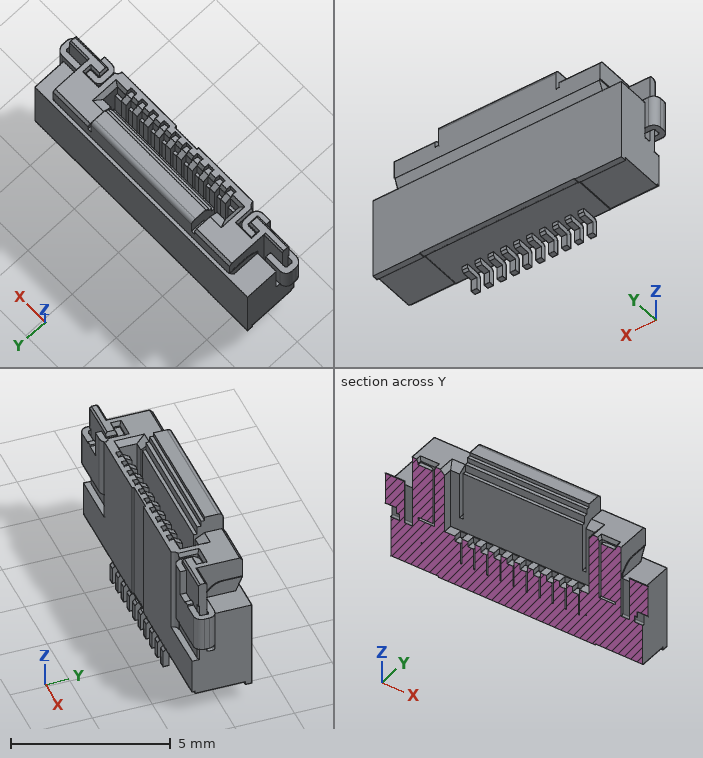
import cadquery as cq
import math


HALF_LENGTH = 4.82
DEPTH = 2.0
TOP = 4.4
SHELF_HALF = 4.0
SHELF_Z = 3.11
UNDERSIDE_MIDDLE = 0.07
UNDERSIDE_ENDS = 0.11
FOOT_DEPTH = 0.22
FOOT_MIDDLE_Z = 0.03
FOOT_INNER_X = 3.0
SOLE_NOTCH_DEPTH = 0.1
SOLE_NOTCH_Z = 0.19
PANEL_HALF = 0.5
PANEL_DEPTH = 0.07

POCKET_FLOOR_Z = 1.42
POCKET_INNER_X = 2.97
POCKET_RADIUS = 0.19
TONGUE_FRONT = 0.21
TONGUE_BACK = 0.5
TONGUE_EDGE = 0.06
SIDE_BEVEL_X = 0.1
SIDE_BEVEL_Y = 0.04
SIDE_BEVEL_TOP = 3.54
SIDE_SLOT_BACK = 0.76
SIDE_SLOT_Z = 1.67
SIDE_SLOT_RADIUS = 0.05

CLIP_HALF = 5.2
SHEET = 0.21
BEND_RADIUS = 0.27
INNER_BEND = BEND_RADIUS - SHEET
CLIP_BOTTOM = 2.1
CLIP_SHOULDER = 3.3
CLIP_TOP = 4.2
CLIP_TALL_X = 3.76
HOOK_OUTER_X = POCKET_INNER_X + POCKET_RADIUS
HOOK_BACK = 0.82
BACK_LEG_END_X = 4.29
TAIL_OUTER_X = 4.6
TAIL_TIP_X = 4.5
TAIL_FRONT = 0.56
TAIL_STEP_Z = 1.89
BUMP_OUTER_X = 4.41
BUMP_INNER_X = 4.23
BUMP_HEIGHT = 0.06
HOOK_SLOT_FLOOR = 2.03
HOOK_SLOT_FRONT = 0.59
HOOK_SLOT_FLARE = 0.06
HOOK_SLOT_FLARE_Z = 0.15

LEVER_HALF = 2.28
LEVER_TOP = 4.9
LEVER_RADIUS = 0.17
LEVER_FRONT = 1.01
LEVER_BASE_Z = 4.0
LEVER_STEPS = [(1.38, LEVER_TOP), (1.26, 4.77), (1.13, 4.58), (LEVER_FRONT, 4.3)]
WING_INNER_X = 2.41
WING_CHAMFER = 0.1
WING_GAP_FLOOR = 4.1
WING_GAP_DEEP_BACK = 1.47
WING_GAP_DEEP_FLOOR = 2.5
UNDERCUT_TOP = 3.6
UNDERCUT_DEPTH = 0.22
CAM_TOP = 3.64
CAM_CURVE_START = 1.35
CAM_INSET = 0.03

MOUTH_HALF = 2.916
MOUTH_FRONT = 0.31
MOUTH_BACK = 1.32
MOUTH_SLOPE_Z = 0.18
CAVITY_HALF = 2.755
CAVITY_FRONT = 0.4
CAVITY_BACK = LEVER_FRONT
CAVITY_FLOOR = 2.0
LEDGE_BACK = 0.5
LEDGE_Z = 3.6

CONTACT_COUNT = 10
PITCH = 0.5
CONTACT_WIDTH = 0.22
GROOVE_WIDTH = 0.25
GROOVE_FRONT = 0.157
GROOVE_BACK = 0.98
GROOVE_FLOOR = 1.0
BEAM_PEAK_Y = 0.375
BEAM_BACK = 0.61
BEAM_PEAK_Z = 4.27
BEAM_SHOULDER_Z = 4.12
BEAM_FRONT_Z = 4.14
FORK_BACK = 0.95
FORK_Z = 1.8
LEAD_FRONT = -0.04
LEAD_BACK = 0.64
LEAD_BOTTOM = -0.15
LEG_BOTTOM = -0.6
LEG_THICKNESS = 0.2
LEAD_CORNER = 0.08


def box(x0, x1, y0, y1, z0, z1):
    """Box between two corners."""
    return cq.Workplane("XY").box(x1 - x0, y1 - y0, z1 - z0, centered=False).translate((x0, y0, z0))


def bar(profile, x0, x1):
    """Extrude a closed list of (Y, Z) points along X."""
    return cq.Workplane("YZ").polyline(profile).close().extrude(x1 - x0).translate((x0, 0, 0))


def both_ends(shape):
    """The shape of the -X end together with its mirror at the +X end."""
    return shape.union(shape.mirror("YZ"))


def make_housing():
    """Block with a rear foot, a stepped underside and a recessed front panel."""
    shell = box(-HALF_LENGTH, HALF_LENGTH, 0, DEPTH, 0, TOP)
    foot_front = DEPTH - FOOT_DEPTH
    shell = shell.cut(box(-HALF_LENGTH, HALF_LENGTH, 0, foot_front, 0, UNDERSIDE_MIDDLE))
    shell = shell.cut(box(-FOOT_INNER_X, FOOT_INNER_X, foot_front, DEPTH, 0, FOOT_MIDDLE_Z))
    shell = shell.cut(both_ends(box(-HALF_LENGTH, -FOOT_INNER_X, 0, foot_front, 0, UNDERSIDE_ENDS)))
    shell = shell.cut(box(-HALF_LENGTH, HALF_LENGTH, 0, SOLE_NOTCH_DEPTH, 0, SOLE_NOTCH_Z))
    return shell.cut(box(-PANEL_HALF, PANEL_HALF, 0, PANEL_DEPTH, SOLE_NOTCH_Z, TOP))


def corner_pocket():
    """Front pocket with a concave inner corner and a bevel along its outer edge."""
    diagonal = POCKET_RADIUS * math.sqrt(0.5)
    corner_x = -POCKET_INNER_X - POCKET_RADIUS
    pocket = (
        cq.Workplane("XY", origin=(0, 0, POCKET_FLOOR_Z))
        .moveTo(-HALF_LENGTH, 0)
        .lineTo(-POCKET_INNER_X, 0)
        .threePointArc((corner_x + diagonal, diagonal), (corner_x, POCKET_RADIUS))
        .lineTo(corner_x, TONGUE_FRONT)
        .lineTo(-HALF_LENGTH, TONGUE_FRONT)
        .close()
        .extrude(TOP - POCKET_FLOOR_Z)
    )
    bevel = (
        cq.Workplane("XY", origin=(0, 0, POCKET_FLOOR_Z))
        .moveTo(-HALF_LENGTH, TONGUE_FRONT)
        .lineTo(-HALF_LENGTH + SIDE_BEVEL_X, TONGUE_FRONT)
        .lineTo(-HALF_LENGTH, TONGUE_FRONT + SIDE_BEVEL_Y)
        .close()
        .extrude(SIDE_BEVEL_TOP - POCKET_FLOOR_Z)
    )
    return pocket.union(bevel)


def tongue_edges():
    """Wedges that bevel the top edges of the tongue: front all along, back above the shelf."""
    low = TOP - TONGUE_EDGE
    front = [(TONGUE_FRONT, low), (TONGUE_FRONT + TONGUE_EDGE, TOP), (TONGUE_FRONT, TOP)]
    back = [(TONGUE_BACK, low), (TONGUE_BACK - TONGUE_EDGE, TOP), (TONGUE_BACK, TOP)]
    tip_x = -HOOK_OUTER_X - SHEET
    return bar(front, -HALF_LENGTH, tip_x).union(bar(back, -HALF_LENGTH, -SHELF_HALF))


def hook_slot():
    """L-shaped slot that takes the hook of the clip, flared at its top edge."""
    stem_x = -HOOK_OUTER_X - SHEET
    outline = [
        (stem_x, TONGUE_FRONT),
        (-HOOK_OUTER_X, TONGUE_FRONT),
        (-HOOK_OUTER_X, HOOK_BACK),
        (-CLIP_TALL_X, HOOK_BACK),
        (-CLIP_TALL_X, HOOK_SLOT_FRONT),
        (stem_x, HOOK_SLOT_FRONT),
    ]
    height = TOP - HOOK_SLOT_FLOOR
    slot = cq.Workplane("XY", origin=(0, 0, HOOK_SLOT_FLOOR)).polyline(outline).close().extrude(height)
    flare_bottom = cq.Workplane("XY", origin=(0, 0, TOP - HOOK_SLOT_FLARE_Z)).polyline(outline).close()
    flare_top = (
        cq.Workplane("XY", origin=(0, 0, TOP))
        .polyline(outline)
        .close()
        .offset2D(HOOK_SLOT_FLARE, "intersection")
    )
    flare = cq.Solid.makeLoft([flare_bottom.val(), flare_top.val()], True)
    return slot.union(cq.Workplane(flare))


def end_shelf():
    """Space above the shelf, with the slot behind the tongue going deeper."""
    above = box(-HALF_LENGTH, -SHELF_HALF, TONGUE_BACK, DEPTH, SHELF_Z, TOP)
    slot = box(-HALF_LENGTH, -SHELF_HALF, TONGUE_BACK, SIDE_SLOT_BACK, SIDE_SLOT_Z, TOP)
    return above.union(slot.edges("|X and <Z").fillet(SIDE_SLOT_RADIUS))


def wing_relief():
    """Cuts that shape the actuator wing: rear chamfer, undercut, inset cam and gap to the lever."""
    chamfer = [(DEPTH, TOP - WING_CHAMFER), (DEPTH - WING_CHAMFER, TOP), (DEPTH, TOP)]
    undercut = [(DEPTH, UNDERCUT_TOP), (DEPTH, SHELF_Z), (DEPTH - UNDERCUT_DEPTH, SHELF_Z)]
    cam = (
        cq.Workplane("YZ", origin=(-SHELF_HALF, 0, 0))
        .moveTo(DEPTH, SHELF_Z)
        .lineTo(DEPTH, CAM_TOP)
        .lineTo(CAM_CURVE_START, CAM_TOP)
        .spline([(SIDE_SLOT_BACK, CLIP_SHOULDER)], tangents=[(-1, 0), (-1, -1)], includeCurrent=True)
        .lineTo(SIDE_SLOT_BACK, SHELF_Z)
        .close()
        .extrude(CAM_INSET)
    )
    gap = box(-WING_INNER_X, -LEVER_HALF, LEVER_FRONT, DEPTH, WING_GAP_FLOOR, TOP)
    deep_gap = box(
        -WING_INNER_X, -LEVER_HALF, LEVER_FRONT, WING_GAP_DEEP_BACK, WING_GAP_DEEP_FLOOR, TOP
    )
    relief = bar(chamfer, -SHELF_HALF, -WING_INNER_X).union(bar(undercut, -SHELF_HALF, 0))
    return relief.union(cam).union(gap).union(deep_gap)


def make_lever():
    """Stepped lever bar rising out of the housing."""
    profile = [(DEPTH, LEVER_BASE_Z), (DEPTH, LEVER_TOP)]
    for number, (front, top) in enumerate(LEVER_STEPS):
        following = LEVER_STEPS[number + 1][1] if number + 1 < len(LEVER_STEPS) else LEVER_BASE_Z
        profile += [(front, top), (front, following)]
    lever = bar(profile, -LEVER_HALF, LEVER_HALF)
    return lever.edges("|X and >Z and >Y").fillet(LEVER_RADIUS)


def cable_opening():
    """Mouth sloping in from its rear, front and ends, with a ledge low on the front wall."""
    slope_bottom = TOP - MOUTH_SLOPE_Z
    mouth_mid = (MOUTH_FRONT + MOUTH_BACK) / 2
    cavity_mid = (CAVITY_FRONT + CAVITY_BACK) / 2
    mouth = (
        cq.Workplane("XY", origin=(0, mouth_mid, TOP))
        .rect(2 * MOUTH_HALF, MOUTH_BACK - MOUTH_FRONT)
        .workplane(offset=slope_bottom - TOP)
        .center(0, cavity_mid - mouth_mid)
        .rect(2 * CAVITY_HALF, CAVITY_BACK - CAVITY_FRONT)
        .loft(ruled=True)
    )
    upper = box(-CAVITY_HALF, CAVITY_HALF, CAVITY_FRONT, CAVITY_BACK, LEDGE_Z, slope_bottom)
    lower = box(-CAVITY_HALF, CAVITY_HALF, LEDGE_BACK, CAVITY_BACK, CAVITY_FLOOR, LEDGE_Z)
    return mouth.union(upper).union(lower)


def make_clip():
    """Bent strip: loop around the tongue's outer end, front leg, and hook around its inner tip."""
    back = TONGUE_BACK + SHEET
    loop = box(-CLIP_HALF, -BACK_LEG_END_X, 0, back, CLIP_BOTTOM, CLIP_SHOULDER)
    loop = loop.edges("|Z and <X").fillet(BEND_RADIUS)
    opening = box(-CLIP_HALF + SHEET, -BACK_LEG_END_X, SHEET, TONGUE_BACK, CLIP_BOTTOM, CLIP_SHOULDER)
    loop = loop.cut(opening.edges("|Z and <X").fillet(INNER_BEND))
    front_leg = box(-BACK_LEG_END_X, -CLIP_TALL_X, 0, SHEET, CLIP_BOTTOM, CLIP_SHOULDER)

    hook = box(-CLIP_TALL_X, -HOOK_OUTER_X, 0, HOOK_BACK, CLIP_BOTTOM, CLIP_TOP)
    hook = hook.edges("|Z and >X").fillet(BEND_RADIUS)
    hook_opening = box(-CLIP_TALL_X, -HOOK_OUTER_X - SHEET, SHEET, HOOK_BACK - SHEET, CLIP_BOTTOM, CLIP_TOP)
    hook = hook.cut(hook_opening.edges("|Z and >X").fillet(INNER_BEND))

    bump_top = CLIP_SHOULDER + BUMP_HEIGHT
    bump = box(-BUMP_OUTER_X, -BUMP_INNER_X, 0, SHEET, CLIP_SHOULDER, bump_top)
    tail = box(-TAIL_OUTER_X, -BACK_LEG_END_X, TAIL_FRONT, back, TAIL_STEP_Z, CLIP_BOTTOM)
    tail_tip = box(-TAIL_TIP_X, -BACK_LEG_END_X, TAIL_FRONT, back, SIDE_SLOT_Z, TAIL_STEP_Z)
    return loop.union(front_leg).union(hook).union(bump).union(tail).union(tail_tip)


def contact_beam(x):
    """Spring beam standing in its groove, with a low fork behind it."""
    profile = [
        (GROOVE_FRONT, GROOVE_FLOOR),
        (GROOVE_FRONT, BEAM_FRONT_Z),
        (BEAM_PEAK_Y, BEAM_PEAK_Z),
        (BEAM_BACK, BEAM_SHOULDER_Z),
        (BEAM_BACK, FORK_Z),
        (FORK_BACK, FORK_Z),
        (FORK_BACK, GROOVE_FLOOR),
    ]
    return bar(profile, x - CONTACT_WIDTH / 2, x + CONTACT_WIDTH / 2)


def contact_lead(x):
    """Solder lead running forward under the housing and down."""
    profile = [
        (LEAD_BACK, UNDERSIDE_MIDDLE),
        (LEAD_FRONT + LEAD_CORNER, UNDERSIDE_MIDDLE),
        (LEAD_FRONT, UNDERSIDE_MIDDLE - LEAD_CORNER),
        (LEAD_FRONT, LEG_BOTTOM),
        (LEAD_FRONT + LEG_THICKNESS, LEG_BOTTOM),
        (LEAD_FRONT + LEG_THICKNESS, LEAD_BOTTOM),
        (LEAD_BACK - LEAD_CORNER, LEAD_BOTTOM),
        (LEAD_BACK, LEAD_BOTTOM + LEAD_CORNER),
    ]
    return bar(profile, x - CONTACT_WIDTH / 2, x + CONTACT_WIDTH / 2)


part = make_housing()
for cutter in (corner_pocket(), tongue_edges(), hook_slot(), end_shelf(), wing_relief()):
    part = part.cut(both_ends(cutter))
part = part.cut(cable_opening())
part = part.union(make_lever())

for index in range(CONTACT_COUNT):
    contact_x = (index - (CONTACT_COUNT - 1) / 2) * PITCH
    groove_left = contact_x - CONTACT_WIDTH / 2
    part = part.cut(
        box(groove_left, groove_left + GROOVE_WIDTH, GROOVE_FRONT, GROOVE_BACK, GROOVE_FLOOR, TOP)
    )
    part = part.union(contact_beam(contact_x)).union(contact_lead(contact_x))

result = part.union(both_ends(make_clip()))